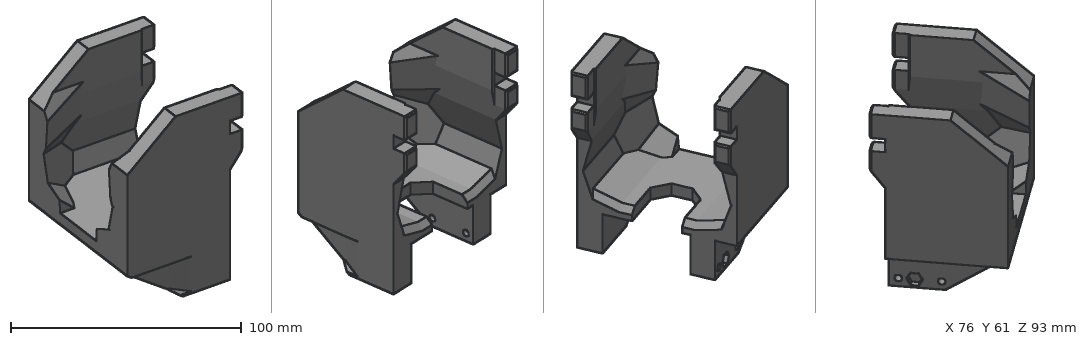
import cadquery as cq
import math

WIDTH = 76.0
HALF_WIDTH = WIDTH / 2
HEIGHT = 93.0
TOTAL_DEPTH = 61.0
BODY_DEPTH = 53.9
BASE_Z = 20.0

OVERCUT = 4.65

SLOPE_TOP_Y = 25.3
SLOPE_BOTTOM_Z = 71.8
PRONG_BOTTOM_Z = 65.1
PRONG_ROOT_Z = 56.0
NOTCH_BOTTOM_Z = 74.2
NOTCH_TOP_Z = 80.8
PRONG_THICKNESS = 7.9
PRONG_BEVEL_INSET = 0.8
PRONG_SIDE_BEVEL_LENGTH = 1.1
PRONG_END_BEVEL_LENGTH = 0.7

FOOT_SLOPE_END_Y = 29.1
FOOT_SLOPE_TOP_Z = 20.3
LEFT_FOOT_INSET = 10.4
LEFT_FOOT_WIDTH = 11.7
RIGHT_FOOT_WIDTH = 12.1

HOLE_Z = 4.2
PIN_DIAMETER = 3.3
PIN_YS = (30.7, 49.8)
HEX_Y = 42.6
HEX_ACROSS_FLATS = 6.1
HEX_DEPTH = 3.0

RECESS_DEPTH = 3.0
RECESS_OUTER_Y = 33.5
RECESS_OUTER_Z = (1.1, 18.8)
RECESS_INNER_Y = 24.2
RECESS_INNER_Z = (4.2, 18.1)

FLOOR_Z = 26.1
UPPER_HALF_WIDTH = 29.3
CHANNEL_SIDE = [
    (UPPER_HALF_WIDTH, HEIGHT + OVERCUT),
    (UPPER_HALF_WIDTH, 71.8),
    (31.0, 56.4),
    (35.25, 39.7),
    (31.8, 29.9),
    (17.8, FLOOR_Z),
]

MOUTH_SIDE = [
    (23.7, 67.6),
    (24.8, 53.3),
    (26.6, 49.8),
    (23.4, 36.7),
    (14.4, 32.55),
    (13.9, FLOOR_Z),
]
MOUTH_RATES = (0, 0.28, 0.36, 0.51, 0.75, 0)
LEDGE_TOP = (UPPER_HALF_WIDTH, 77.4)
MOUTH_DEPTH = 22.8

FLOOR_BEVEL = 3.1
WALL_BEVEL = HALF_WIDTH - PRONG_THICKNESS - UPPER_HALF_WIDTH

SLOT_HALF_WIDTH = 11.9
SLOT_END_HALF_WIDTH = 5.0
SLOT_END_Y = 27.5
SLOT_CORNER_Y = SLOT_END_Y + SLOT_HALF_WIDTH - SLOT_END_HALF_WIDTH


def mirrored(side):
    """Close a right-half chain of points with its mirror image."""
    return side + [(-x, z) for x, z in reversed(side)]


def extended(start, end, distance):
    """Point beyond end on the line from start to end."""
    length = math.dist(start, end)
    step = distance / length
    return (end[0] + (end[0] - start[0]) * step, end[1] + (end[1] - start[1]) * step)


def offset_chain(points, offsets):
    """Move each segment of a downward chain outward (+X side) and rejoin the corners."""
    lines = []
    for (x0, z0), (x1, z1), offset in zip(points, points[1:], offsets):
        length = math.dist((x0, z0), (x1, z1))
        normal_x = (z0 - z1) / length
        normal_z = (x1 - x0) / length
        lines.append((normal_x, normal_z, normal_x * x0 + normal_z * z0 + offset))

    first_x, first_z, _ = lines[0]
    last_x, last_z, _ = lines[-1]
    moved = [(points[0][0] + first_x * offsets[0], points[0][1] + first_z * offsets[0])]
    for (ax, az, a), (bx, bz, b) in zip(lines, lines[1:]):
        cross = ax * bz - az * bx
        moved.append(((a * bz - b * az) / cross, (ax * b - bx * a) / cross))
    moved.append((points[-1][0] + last_x * offsets[-1], points[-1][1] + last_z * offsets[-1]))
    return moved


def flared_prism(near_side, far_side, near_y, far_y):
    """Symmetric tapering solid between two matching sections."""
    return (
        cq.Workplane("XZ", origin=(0, near_y, 0))
        .polyline(mirrored(near_side)).close()
        .workplane(offset=near_y - far_y)
        .polyline(mirrored(far_side)).close()
        .loft(ruled=True)
    )


def side_prism(points, x_start, x_end):
    """Prism along X with a (Y, Z) outline."""
    return cq.Workplane("YZ", origin=(x_start, 0, 0)).polyline(points).close().extrude(x_end - x_start)


def make_body():
    """Solid block on two feet, with the front sloped above and below."""
    body = side_prism(
        [
            (0, BASE_Z),
            (0, SLOPE_BOTTOM_Z),
            (SLOPE_TOP_Y, HEIGHT),
            (BODY_DEPTH, HEIGHT),
            (BODY_DEPTH, BASE_Z),
        ],
        -HALF_WIDTH, HALF_WIDTH,
    )
    left_foot_x = -HALF_WIDTH + LEFT_FOOT_INSET
    feet_spans = (
        (left_foot_x, left_foot_x + LEFT_FOOT_WIDTH),
        (HALF_WIDTH - RIGHT_FOOT_WIDTH, HALF_WIDTH),
    )
    for x_start, x_end in feet_spans:
        foot = side_prism(
            [(0, 0), (0, BASE_Z), (BODY_DEPTH, BASE_Z), (BODY_DEPTH, 0)],
            x_start, x_end,
        )
        body = body.union(foot)
    front_slope = side_prism(
        [(0, FOOT_SLOPE_TOP_Z), (FOOT_SLOPE_END_Y, 0), (0, 0)],
        -HALF_WIDTH, HALF_WIDTH,
    )
    return body.cut(front_slope)


def make_channel():
    """Straight channel, narrowed by the mouth walls near the front."""
    channel = (
        cq.Workplane("XZ")
        .polyline(mirrored(CHANNEL_SIDE)).close()
        .extrude(-TOTAL_DEPTH)
    )
    ledge_start = extended(MOUTH_SIDE[0], LEDGE_TOP, 2 * OVERCUT)
    below_floor = extended(MOUTH_SIDE[-2], MOUTH_SIDE[-1], OVERCUT)
    near_side = [ledge_start] + MOUTH_SIDE[:-1] + [below_floor]
    far_side = offset_chain(near_side, [rate * MOUTH_DEPTH for rate in MOUTH_RATES])
    top = [(ledge_start[0], HEIGHT + OVERCUT)]
    mouth = flared_prism(top + near_side, top + far_side, 0, MOUTH_DEPTH)
    behind_mouth = cq.Workplane("XY").box(
        WIDTH, TOTAL_DEPTH - MOUTH_DEPTH, 2 * HEIGHT, centered=(True, False, True)
    ).translate((0, MOUTH_DEPTH, 0))
    return channel.intersect(mouth.union(behind_mouth))


def make_back_bevels():
    """Bevels on the floor with its slopes, and on the upright upper walls."""
    floor_chain = CHANNEL_SIDE[-3:] + [(0, FLOOR_Z)]
    bevelled_chain = offset_chain(floor_chain, (0, FLOOR_BEVEL, FLOOR_BEVEL))
    floor_bevel = flared_prism(
        floor_chain[:-1], bevelled_chain[:-1], BODY_DEPTH - FLOOR_BEVEL, BODY_DEPTH
    )
    bevel_x = UPPER_HALF_WIDTH + WALL_BEVEL
    bevel_y = BODY_DEPTH - WALL_BEVEL
    wall_bevel = (
        cq.Workplane("XY", origin=(0, 0, PRONG_ROOT_Z))
        .polyline([
            (UPPER_HALF_WIDTH, bevel_y),
            (bevel_x, BODY_DEPTH),
            (-bevel_x, BODY_DEPTH),
            (-UPPER_HALF_WIDTH, bevel_y),
        ]).close()
        .extrude(HEIGHT)
    )
    return floor_bevel.union(wall_bevel)


def make_prongs(x_start):
    """Upper and lower prong behind one wall, bevelled above and below at the tips."""
    bevel_y = TOTAL_DEPTH - PRONG_END_BEVEL_LENGTH
    upper = side_prism(
        [
            (BODY_DEPTH, NOTCH_TOP_Z),
            (BODY_DEPTH, HEIGHT),
            (bevel_y, HEIGHT),
            (TOTAL_DEPTH, HEIGHT - PRONG_BEVEL_INSET),
            (TOTAL_DEPTH, NOTCH_TOP_Z + PRONG_BEVEL_INSET),
            (bevel_y, NOTCH_TOP_Z),
        ],
        x_start, x_start + PRONG_THICKNESS,
    )
    lower = side_prism(
        [
            (BODY_DEPTH, PRONG_ROOT_Z),
            (BODY_DEPTH, NOTCH_BOTTOM_Z),
            (bevel_y, NOTCH_BOTTOM_Z),
            (TOTAL_DEPTH, NOTCH_BOTTOM_Z - PRONG_BEVEL_INSET),
            (TOTAL_DEPTH, PRONG_BOTTOM_Z),
        ],
        x_start, x_start + PRONG_THICKNESS,
    )
    return upper.union(lower)


def make_prong_side_bevels(x_start):
    """Strips to remove along both upright edges of the prong ends."""
    x_end = x_start + PRONG_THICKNESS
    bevel_y = TOTAL_DEPTH - PRONG_SIDE_BEVEL_LENGTH
    strips = cq.Workplane("XY")
    for edge_x, inset in ((x_start, PRONG_BEVEL_INSET), (x_end, -PRONG_BEVEL_INSET)):
        strip = (
            cq.Workplane("XY", origin=(0, 0, PRONG_ROOT_Z))
            .polyline([(edge_x, bevel_y), (edge_x, TOTAL_DEPTH), (edge_x + inset, TOTAL_DEPTH)]).close()
            .extrude(HEIGHT)
        )
        strips = strips.add(strip)
    return strips.combine()


def make_floor_slot():
    """Through slot with angled corners at its closed end."""
    side = [
        (SLOT_HALF_WIDTH, BODY_DEPTH + OVERCUT),
        (SLOT_HALF_WIDTH, SLOT_CORNER_Y),
        (SLOT_END_HALF_WIDTH, SLOT_END_Y),
    ]
    return cq.Workplane("XY").polyline(mirrored(side)).close().extrude(FLOOR_Z + OVERCUT)


def make_foot_holes():
    """Round pin holes and the hexagonal pocket, entering from the outer side."""
    plane = cq.Workplane("YZ", origin=(-HALF_WIDTH + LEFT_FOOT_INSET, 0, 0))
    pins = plane.pushPoints([(y, HOLE_Z) for y in PIN_YS]).circle(PIN_DIAMETER / 2).extrude(LEFT_FOOT_WIDTH)
    hex_corner_diameter = HEX_ACROSS_FLATS / math.cos(math.pi / 6)
    hexagon = plane.center(HEX_Y, HOLE_Z).polygon(6, hex_corner_diameter).extrude(HEX_DEPTH)
    return pins.union(hexagon)


def make_foot_recess():
    """Recess that narrows from the outer side inward."""

    def section(back_y, z_range):
        low, high = z_range
        return [(0, low), (back_y, low), (back_y, high), (0, high)]

    return (
        cq.Workplane("YZ", origin=(HALF_WIDTH, 0, 0))
        .polyline(section(RECESS_OUTER_Y, RECESS_OUTER_Z)).close()
        .workplane(offset=-RECESS_DEPTH)
        .polyline(section(RECESS_INNER_Y, RECESS_INNER_Z)).close()
        .loft(ruled=True)
    )


result = make_body()
for prong_x in (-HALF_WIDTH, HALF_WIDTH - PRONG_THICKNESS):
    result = result.union(make_prongs(prong_x)).cut(make_prong_side_bevels(prong_x))
result = result.cut(make_channel()).cut(make_back_bevels())
result = result.cut(make_floor_slot()).cut(make_foot_holes()).cut(make_foot_recess())